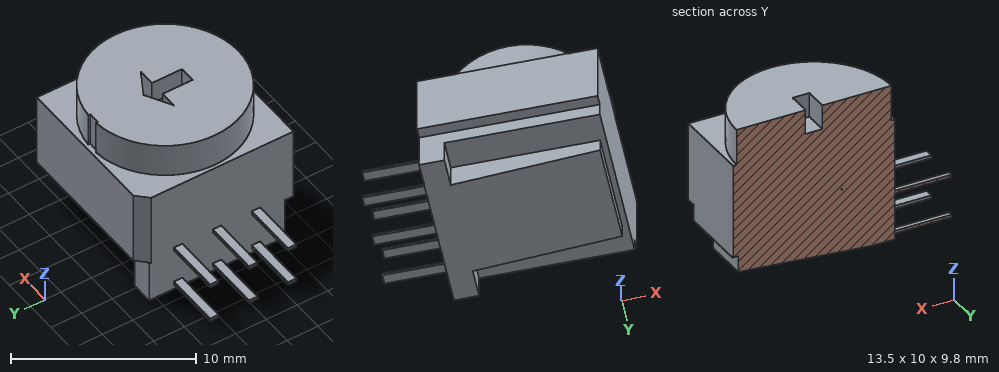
import cadquery as cq

body_side = 10.0
corner_chamfer = 0.7
cover_height = 3.85
flange_height = 1.0
base_width = 8.87
base_height = 1.0

foot_height = 1.75
foot_length = 1.4
rib_inset = 1.62
rib_end_gap = 0.34
rib_end_drop = 1.0

knob_diameter = 9.57
knob_height = 2.2
notch_width = 0.73
notch_depth = 0.14
arrow_tip = 1.42
arrow_shoulder = 0.51
arrow_tail = -1.45
arrow_half_width = 1.59
shaft_half_width = 0.51
arrow_depth = 1.5

overall_length = 13.5
pin_rows = 2
pin_pitch = 2.54
pin_width = 0.55
pin_thickness = 0.2
lower_pin_height = 0.46
pin_embed = 0.68

base_bottom = foot_height
base_top = base_bottom + base_height
cover_top = base_top + flange_height + cover_height
knob_top = cover_top + knob_height
pin_face_x = -body_side / 2
far_face_x = body_side / 2


def make_cover():
    """Cover and flange as one square block, with one corner cut off."""
    block = cq.Workplane("XY").workplane(offset=base_top).rect(body_side, body_side)
    block = block.extrude(cover_top - base_top)
    return block.edges("|Z and <X and >Y").chamfer(corner_chamfer)


def make_base():
    """Narrower base plate with the foot across its full width."""
    plate = cq.Workplane("XY").box(body_side, base_width, base_height, centered=(True, True, False))
    plate = plate.translate((0, 0, base_bottom))
    foot = cq.Workplane("XY").box(foot_length, base_width, foot_height, centered=(False, True, False))
    return plate.union(foot.translate((pin_face_x, 0, 0)))


def make_rib():
    """Central rib under the base, with a sloping lower face."""
    foot_x = pin_face_x + foot_length
    end_x = far_face_x - rib_end_gap
    outline = [
        (foot_x, 0),
        (end_x, base_bottom - rib_end_drop),
        (end_x, base_bottom),
        (foot_x, base_bottom),
    ]
    rib_width = base_width - 2 * rib_inset
    return cq.Workplane("XZ").polyline(outline).close().extrude(rib_width / 2, both=True)


def make_knob():
    """Round knob with a notch at the +Y rim and the arrow pocket in its top."""
    knob = cq.Workplane("XY").workplane(offset=cover_top).circle(knob_diameter / 2).extrude(knob_height)
    notch = cq.Workplane("XY").workplane(offset=cover_top).center(0, knob_diameter / 2)
    notch = notch.rect(notch_width, 2 * notch_depth).extrude(knob_height)
    arrow = [
        (0, arrow_tip),
        (arrow_half_width, arrow_shoulder),
        (shaft_half_width, arrow_shoulder),
        (shaft_half_width, arrow_tail),
        (-shaft_half_width, arrow_tail),
        (-shaft_half_width, arrow_shoulder),
        (-arrow_half_width, arrow_shoulder),
    ]
    pocket = cq.Workplane("XY").workplane(offset=knob_top).polyline(arrow).close().extrude(-arrow_depth)
    return knob.cut(notch).cut(pocket)


def make_pin(y, z):
    """Flat pin standing out of the -X face, its inner end sunk into the base."""
    pin_length = overall_length - body_side + pin_embed
    pin = cq.Workplane("XY").box(pin_length, pin_width, pin_thickness, centered=(False, True, True))
    return pin.translate((far_face_x - overall_length, y, z))


result = make_cover().union(make_base()).union(make_rib()).union(make_knob())
for row in range(pin_rows):
    for column in (-1, 0, 1):
        result = result.union(make_pin(column * pin_pitch, lower_pin_height + row * pin_pitch))